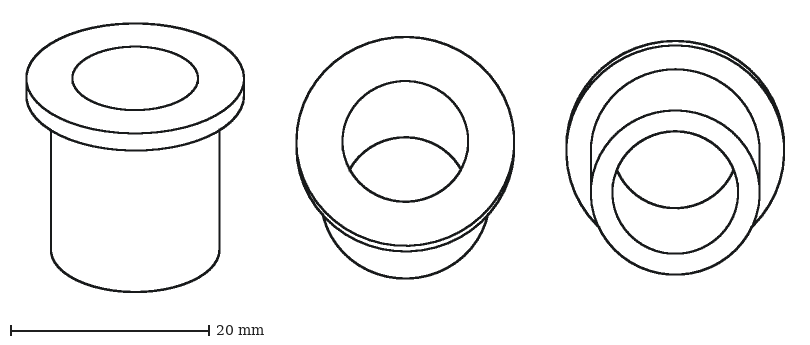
import cadquery as cq

flange_diameter = 22.0
sleeve_diameter = 17.05
bore_diameter = 12.7
total_height = 20.0
flange_thickness = 2.0

sleeve = cq.Workplane("XY").circle(sleeve_diameter / 2).extrude(total_height)

flange = (
    cq.Workplane("XY")
    .workplane(offset=total_height - flange_thickness)
    .circle(flange_diameter / 2)
    .extrude(flange_thickness)
)

bore = cq.Workplane("XY").circle(bore_diameter / 2).extrude(total_height)

result = sleeve.union(flange).cut(bore)